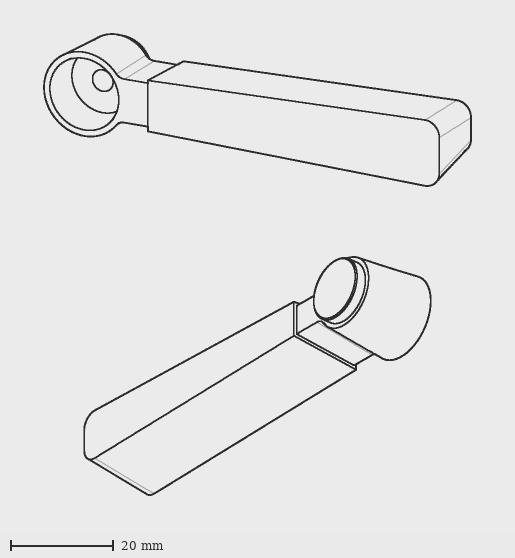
import cadquery as cq
import math


hub_front_radius = 8.7
hub_length = 14.9
draft_angle = 5.2
hub_back_radius = hub_front_radius - hub_length * math.tan(math.radians(draft_angle))

bore_front_radius = 7.45
bore_floor_radius = 6.7
bore_depth = 8.3

collar_radius = 6.4
collar_length = 2.4
collar_chamfer = 0.25
stem_radius = 2.2

arm_front_half_height = 4.5
arm_fillet = 2.1

grip_start = 14.0
overall_length = 85.65
grip_end = overall_length - hub_front_radius
grip_front_proud = 0.5
grip_back_proud = 0.7
grip_start_half_height = 5.3
grip_end_half_height = 6.9
grip_end_draft = 3.0
grip_corner_radius = 3.1

selection_margin = 1.7


def cone_along_y(front_radius, back_radius, front_y, length):
    """Solid of revolution about Y whose radius changes evenly from front to back."""
    return (
        cq.Workplane("XY")
        .moveTo(0, front_y)
        .lineTo(front_radius, front_y)
        .lineTo(back_radius, front_y + length)
        .lineTo(0, front_y + length)
        .close()
        .revolve(360, (0, 0, 0), (0, 1, 0))
    )


def drafted_block(start_x, end_x, start_half, end_half, front_y, length, end_draft):
    """Block along X, symmetric in Z, whose top, bottom and far end lean inwards towards the back."""
    side_drop = length * math.tan(math.radians(draft_angle))
    end_drop = length * math.tan(math.radians(end_draft))

    def outline(y, drop, far_x):
        return cq.Wire.makePolygon(
            [
                cq.Vector(start_x, y, -start_half + drop),
                cq.Vector(far_x, y, -end_half + drop),
                cq.Vector(far_x, y, end_half - drop),
                cq.Vector(start_x, y, start_half - drop),
            ],
            close=True,
        )

    front = outline(front_y, 0, end_x)
    back = outline(front_y + length, side_drop, end_x - end_drop)
    return cq.Workplane(obj=cq.Solid.makeLoft([front, back], True))


def edges_along_depth(min_x, max_x):
    """Selects the edges between two X places that run from front to back, not those in an end face."""
    middle_y = hub_length / 2
    return cq.selectors.BoxSelector(
        (min_x, middle_y - selection_margin, -hub_front_radius),
        (max_x, middle_y + selection_margin, hub_front_radius),
    )


def make_stem():
    return cone_along_y(stem_radius, stem_radius, bore_depth, hub_length - bore_depth)


def make_lever():
    hub = cone_along_y(hub_front_radius, hub_back_radius, 0, hub_length)
    arm = drafted_block(
        0, grip_start, arm_front_half_height, arm_front_half_height, 0, hub_length, 0
    )
    joint_x = math.sqrt(hub_front_radius**2 - arm_front_half_height**2)
    joint = edges_along_depth(joint_x - selection_margin, joint_x + selection_margin)
    body = hub.union(arm).edges(joint).fillet(arm_fillet)
    bore = cone_along_y(bore_front_radius, bore_floor_radius, 0, bore_depth)
    return body.cut(bore).cut(make_stem())


def make_grip():
    length = grip_front_proud + hub_length + grip_back_proud
    block = drafted_block(
        grip_start,
        grip_end,
        grip_start_half_height,
        grip_end_half_height,
        -grip_front_proud,
        length,
        grip_end_draft,
    )
    far_edges = edges_along_depth(grip_end - selection_margin, grip_end + selection_margin)
    return block.edges(far_edges).fillet(grip_corner_radius)


def make_insert():
    collar = cone_along_y(collar_radius, collar_radius, hub_length, collar_length)
    return collar.faces(">Y").chamfer(collar_chamfer).union(make_stem())


lever = make_lever()
grip = make_grip()
insert = make_insert()

result = cq.Compound.makeCompound([lever.val(), grip.val(), insert.val()])